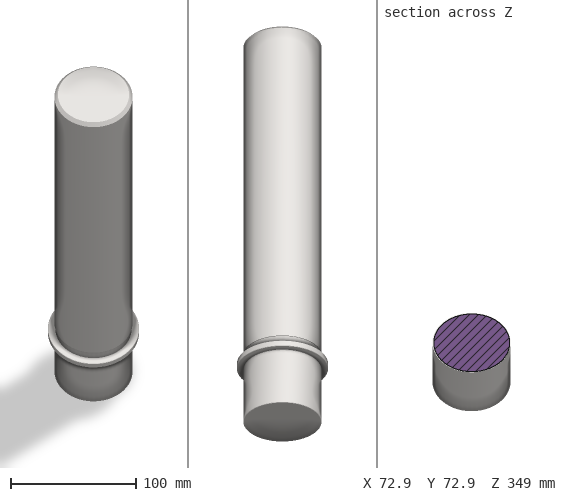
import cadquery as cq

length = 349.0
body_radius = 31.25
flange_radius = 36.47

top_chamfer = 2.8
bottom_chamfer = 0.5

flange_bottom = 49.2
flange_thickness = 5.0
flange_chamfer = 0.5
relief_depth = 0.7
upper_relief_height = 7.7
lower_relief_height = 1.0

flange_top = flange_bottom + flange_thickness
relief_radius = body_radius - relief_depth


def cylinder(radius, bottom, top):
    """Solid cylinder on the Z axis between two heights."""
    return cq.Workplane("XY").workplane(offset=bottom).circle(radius).extrude(top - bottom)


shank = cylinder(body_radius, 0, flange_bottom - lower_relief_height)
shank = shank.faces("<Z").chamfer(bottom_chamfer)

pin = cylinder(body_radius, flange_top + upper_relief_height, length)
pin = pin.faces(">Z").chamfer(top_chamfer)

neck = cylinder(relief_radius, flange_bottom - lower_relief_height, flange_top + upper_relief_height)

flange = cylinder(flange_radius, flange_bottom, flange_top)
flange = flange.faces("<Z or >Z").chamfer(flange_chamfer)

result = shank.union(neck).union(pin).union(flange)